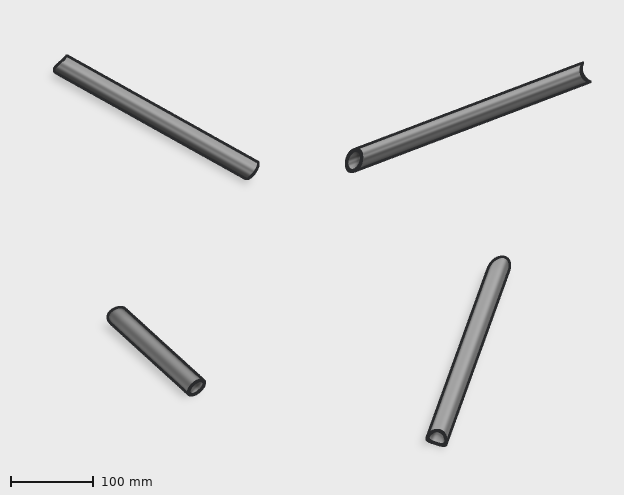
import cadquery as cq
import math

overall_length = 313.2
outer_diameter = 25.0
wall = 2.0
axis_drop = 2.05
overrun = 31.3
cutter_size = 150.3

saddle_radius = 15.7
saddle_roll = 10.0

end_slope_z = 0.83
end_slope_y = 0.56

outer_radius = outer_diameter / 2
inner_radius = outer_radius - wall
slope = axis_drop / overall_length
axis_direction = cq.Vector(1, 0, -slope)
half_drop = axis_drop / 2
end_reach = outer_radius * math.hypot(end_slope_y, end_slope_z)
end_center_x = overall_length - end_reach
saddle_center_x = -math.sqrt(saddle_radius**2 - outer_radius**2)


def make_tube():
    """Straight tube, falling slightly towards +X, with spare length at both ends."""
    start = cq.Vector(-overrun, 0, half_drop + slope * overrun)
    length = (overall_length + 2 * overrun) * axis_direction.Length
    outer = cq.Solid.makeCylinder(outer_radius, length, start, axis_direction)
    bore = cq.Solid.makeCylinder(inner_radius, length, start, axis_direction)
    return cq.Workplane(obj=outer.cut(bore))


def make_saddle_cutter():
    """Rolled cylinder for the cope, joined to a block that clears the stock to its left."""
    cylinder = cq.Workplane().circle(saddle_radius).extrude(cutter_size / 2, both=True)
    clearance = cq.Workplane().box(
        2 * overrun, cutter_size, cutter_size, centered=(False, True, True)
    ).translate((-2 * overrun, 0, 0))
    cutter = cylinder.union(clearance)
    cutter = cutter.rotate((0, 0, 0), (1, 0, 0), saddle_roll)
    return cutter.translate((saddle_center_x, 0, half_drop))


def make_end_cutter():
    """Block whose face slopes in both Y and Z, for the compound mitre at the right end."""
    face = cq.Plane(
        origin=(end_center_x, 0, -half_drop),
        normal=(1, end_slope_y, -end_slope_z),
    )
    return cq.Workplane(face).rect(cutter_size, cutter_size).extrude(cutter_size)


result = make_tube().cut(make_saddle_cutter()).cut(make_end_cutter())